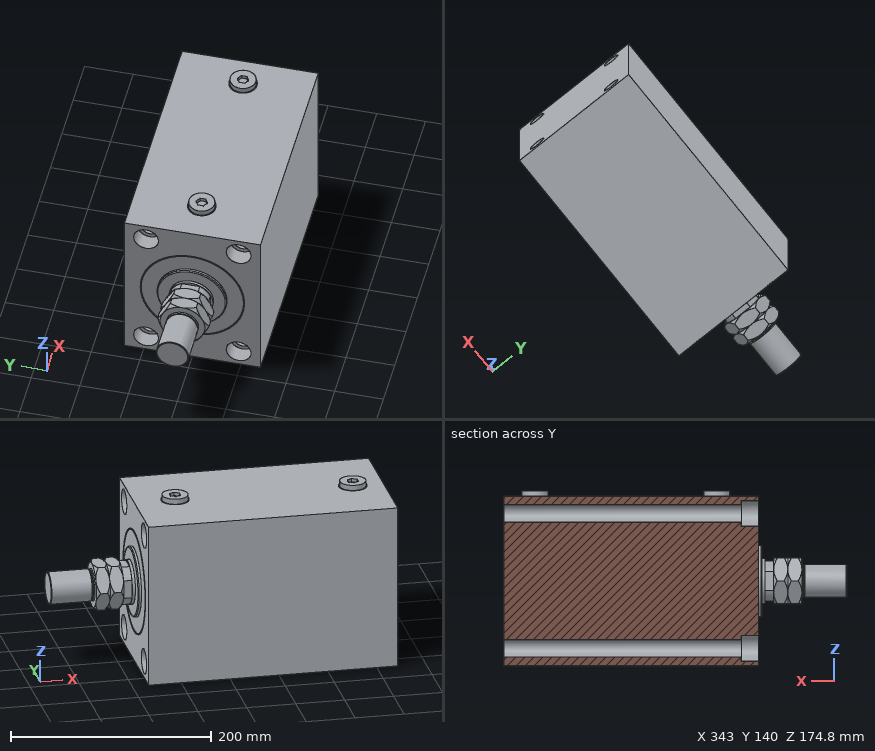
import cadquery as cq
import math


total_length = 343.0
block_width = 140.0
block_height = 169.8
front_face = 88.0
block_length = total_length - front_face
block_top = block_height / 2

hole_spacing_y = 95.0
hole_spacing_z = 134.8
hole_diameter = 17.0
counterbore_diameter = 25.5
counterbore_depth = 17.0

collar_diameter = 71.5
collar_height = 3.5
collar_chamfer = 1.0
groove_outer_diameter = 107.0
groove_width = 1.0
groove_depth = 0.5

thread_diameter = 33.0
tip_chamfer = 0.7
relief_start = 42.0
relief_diameter = 31.0
nut_start = 45.0
nut_thickness = 14.0
nut_count = 2
nuts_end = nut_start + nut_count * nut_thickness
flats_end = 81.5
flats_across = 40.0
flats_corner_diameter = 44.2
rod_diameter = 45.3
rod_depth = 17.0

nut_across_flats = 46.0
nut_face_diameter = nut_across_flats
nut_chamfer_angle = 45.0

plug_height = 5.0
plug_diameter = 26.5
plug_depth = 7.0
port_diameter = 28.5
port_depth = 0.5
socket_across_flats = 10.0
socket_depth = 3.5
first_plug_x = front_face + 42.0
plug_spacing = 181.8
plug_places = [first_plug_x, first_plug_x + plug_spacing]


def corner_diameter(across_flats):
    """Diameter of the circle through the corners of a hexagon."""
    return across_flats / math.cos(math.pi / 6)


def x_cylinder(diameter, start, end):
    """Round bar on the cylinder axis between two x positions."""
    return cq.Workplane("YZ", origin=(start, 0, 0)).circle(diameter / 2).extrude(end - start)


def z_cylinder(diameter, x, bottom, top):
    """Upright round bar at the given x position."""
    return cq.Workplane("XY", origin=(x, 0, bottom)).circle(diameter / 2).extrude(top - bottom)


def make_housing():
    block = cq.Workplane("XY").box(block_length, block_width, block_height)
    block = block.translate((front_face + block_length / 2, 0, 0))

    block = (
        block.faces("<X").workplane(origin=(front_face, 0, 0))
        .rarray(hole_spacing_y, hole_spacing_z, 2, 2)
        .cboreHole(hole_diameter, counterbore_diameter, counterbore_depth)
    )

    groove_end = front_face + groove_depth
    groove = x_cylinder(groove_outer_diameter, front_face, groove_end)
    groove = groove.cut(x_cylinder(groove_outer_diameter - 2 * groove_width, front_face, groove_end))
    collar = x_cylinder(collar_diameter, front_face - collar_height, front_face)
    collar = collar.faces("<X").chamfer(collar_chamfer)
    block = block.cut(groove).union(collar)

    block = block.cut(x_cylinder(rod_diameter, front_face - collar_height, front_face + rod_depth))
    for x in plug_places:
        block = block.cut(z_cylinder(plug_diameter, x, block_top - plug_depth, block_top))
        block = block.cut(z_cylinder(port_diameter, x, block_top - port_depth, block_top))
    return block


def make_rod():
    thread = x_cylinder(thread_diameter, 0, nuts_end).faces("<X").chamfer(tip_chamfer)

    relief_radius = relief_diameter / 2
    thread_radius = thread_diameter / 2
    slope_length = thread_radius - relief_radius
    relief = (
        cq.Workplane("XY")
        .moveTo(relief_start, thread_radius)
        .lineTo(relief_start + slope_length, relief_radius)
        .lineTo(nut_start - slope_length, relief_radius)
        .lineTo(nut_start, thread_radius)
        .close()
        .revolve(360, (0, 0, 0), (1, 0, 0))
    )
    thread = thread.cut(relief)

    flats_length = flats_end - nuts_end
    flats = x_cylinder(flats_corner_diameter, nuts_end, flats_end).intersect(
        cq.Workplane("XY", origin=((nuts_end + flats_end) / 2, 0, 0))
        .box(flats_length, flats_across, flats_across)
    )
    shank = x_cylinder(rod_diameter, flats_end, front_face + rod_depth)
    return thread.union(flats).union(shank)


def make_nut(start):
    """Hexagon nut with flats facing +Z and -Z and both ends chamfered, bored to fit the thread."""
    corner = corner_diameter(nut_across_flats)
    nut = cq.Workplane("YZ").polygon(6, corner).extrude(nut_thickness)

    face_radius = nut_face_diameter / 2
    corner_radius = corner / 2
    chamfer_length = (corner_radius - face_radius) * math.tan(math.radians(nut_chamfer_angle))
    trim = (
        cq.Workplane("XY")
        .moveTo(0, 0)
        .lineTo(0, face_radius)
        .lineTo(chamfer_length, corner_radius)
        .lineTo(nut_thickness - chamfer_length, corner_radius)
        .lineTo(nut_thickness, face_radius)
        .lineTo(nut_thickness, 0)
        .close()
        .revolve(360, (0, 0, 0), (1, 0, 0))
    )
    bore = x_cylinder(thread_diameter, 0, nut_thickness)
    return nut.intersect(trim).cut(bore).translate((start, 0, 0))


def make_plug(x):
    """Round plug standing on the top face, with a hexagon socket."""
    top = block_top + plug_height
    plug = z_cylinder(plug_diameter, x, block_top - plug_depth, top)
    socket = (
        cq.Workplane("XY", origin=(x, 0, top - socket_depth))
        .transformed(rotate=(0, 0, 90))
        .polygon(6, corner_diameter(socket_across_flats))
        .extrude(socket_depth)
    )
    return plug.cut(socket)


housing = make_housing()
rod = make_rod()
nuts = [make_nut(nut_start + index * nut_thickness) for index in range(nut_count)]
plugs = [make_plug(x) for x in plug_places]

result = cq.Compound.makeCompound(
    [housing.val(), rod.val(), *[nut.val() for nut in nuts], *[plug.val() for plug in plugs]]
)